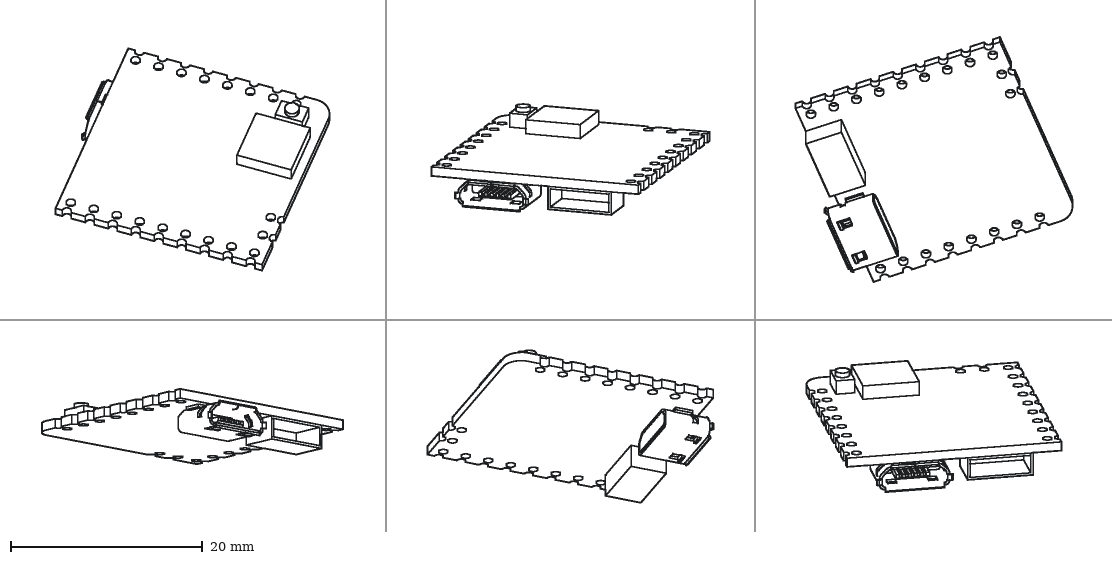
import cadquery as cq
import math


board_side = 22.87
board_thickness = 1.0
corner_radius = 1.98
hole_diameter = 0.97
hole_pitch = 2.55
holes_per_side = 9
end_holes = 2
hole_inset = 1.25

chip_side = 6.0
chip_height = 1.5
chip_x = 18.9
chip_y = 14.9
button_base_length = 3.0
button_base_width = 1.98
button_x = 19.35
button_y = 19.38
plunger_diameter = 1.5
plunger_height = 0.5

socket_depth = 4.0
socket_width = 7.0
socket_height = 2.5
socket_wall = 0.27
socket_y = 6.5

usb_y = 15.85
sheet = 0.3
rim_x = -0.97
shell_back_x = 4.0
shell_height = 2.47
shell_half_width = 3.73
shoulder_drop = 0.9
shell_top_half_width = shell_half_width - shoulder_drop
shoulder_radius = 0.58
bottom_radius = 0.53

lip_tip_x = -1.33
lip_outer_reach = 0.15
lip_bend_reach = 0.17
lip_bend_rise = 0.07
lip_edge_drop = 0.2
lip_rise = 0.25
side_lip_rise = 0.35
top_lip_length = 5.08
bottom_lip_length = 6.3
side_lip_length = 0.63
side_lip_z = -1.55
seam_width = 0.07

wing_half_width = 3.63
wing_front_x = 0.92
notch_front_x = 0.36
notch_bottom_z = -1.43
notch_width = 0.85
wing_length = 1.94
slot_offset = 2.18
slot_width = 0.97
slot_length = 0.97
hook_length = 0.4
hook_slant = 0.12
hook_drop = 0.25
recess_front_x = -0.44
recess_length = 1.45
recess_width = 1.35
recess_y = 16.35
recess_depth = 0.07

insulator_front_x = 2.78
insulator_back_x = 4.1
tongue_front_x = -0.1
tongue_width = 3.53
tongue_top_z = -1.25
tongue_height = 0.58
contact_count = 5
contact_pitch = 0.63
contact_width = 0.35
contact_depth = 0.3
tongue_chamfer = 0.2


def box(x_start, x_length, y_center, y_width, z_start, z_height):
    """Block given by its low X, its middle Y and its low Z."""
    block = cq.Workplane().box(x_length, y_width, z_height, centered=(False, True, False))
    return block.translate((x_start, y_center, z_start))


def hole_and_notch_points():
    """Through holes, each paired with a half-round notch on the nearest edge."""
    points = []
    for i in range(holes_per_side):
        x = hole_inset + i * hole_pitch
        points += [(x, hole_inset), (x, 0)]
        if i < holes_per_side - 1:
            points += [(x, board_side - hole_inset), (x, board_side)]
    for i in range(1, end_holes + 1):
        y = hole_inset + i * hole_pitch
        points += [(board_side - hole_inset, y), (board_side, y)]
    return points


def make_board():
    plate = cq.Workplane().box(board_side, board_side, board_thickness, centered=False)
    plate = plate.edges("|Z and >X and >Y").fillet(corner_radius)
    holes = (
        cq.Workplane()
        .pushPoints(hole_and_notch_points())
        .circle(hole_diameter / 2)
        .extrude(board_thickness)
    )
    top = cq.Workplane().workplane(offset=board_thickness)
    chip = top.center(chip_x, chip_y).rect(chip_side, chip_side).extrude(chip_height)
    button = top.center(button_x, button_y)
    button_base = button.rect(button_base_length, button_base_width).extrude(chip_height)
    plunger = button.circle(plunger_diameter / 2).extrude(chip_height + plunger_height)
    return plate.cut(holes).union(chip).union(button_base.union(plunger))


def make_socket():
    block = box(0, socket_depth, socket_y, socket_width, -socket_height, socket_height)
    cavity = box(
        0,
        socket_depth - socket_wall,
        socket_y,
        socket_width - 2 * socket_wall,
        socket_wall - socket_height,
        socket_height - 2 * socket_wall,
    )
    return block.cut(cavity)


def usb_prism(inset, x_start, x_end):
    """Prism with the connector's section, shrunk by `inset` all round."""
    half = shell_half_width - inset
    shoulder_inset = inset * math.tan(math.radians(22.5))
    shoulder_z = -shoulder_drop - shoulder_inset
    outline = [
        (-half, inset - shell_height),
        (half, inset - shell_height),
        (half, shoulder_z),
        (shell_top_half_width - shoulder_inset, -inset),
        (shoulder_inset - shell_top_half_width, -inset),
        (-half, shoulder_z),
    ]
    prism = cq.Workplane("YZ").polyline(outline).close().extrude(x_end - x_start)
    prism = prism.edges("|X and <Z").fillet(bottom_radius - inset)
    prism = prism.edges("|X and (>Z or >Y or <Y)").edges(">Z or >>Z[-2]").fillet(shoulder_radius - inset)
    return prism.translate((x_start, usb_y, 0))


def lip(length, rise):
    """Lip flaring up and forward from a sheet whose outer face is at Z = 0, centred on Y = 0."""
    bend_middle = (rim_x - lip_bend_reach / 2, lip_bend_rise / 4 - sheet)
    profile = (
        cq.Workplane("XZ")
        .moveTo(lip_tip_x, rise - lip_edge_drop)
        .lineTo(rim_x - lip_outer_reach, rise)
        .lineTo(rim_x, 0)
        .lineTo(rim_x, -sheet)
        .threePointArc(bend_middle, (rim_x - lip_bend_reach, lip_bend_rise - sheet))
        .close()
    )
    return profile.extrude(length / 2, both=True)


def turned(shape, angle, y, z):
    """Turn a shape about the X axis and move it to the given Y and Z."""
    return shape.rotate((0, 0, 0), (1, 0, 0), angle).translate((0, y, z))


def hook(y):
    """Small hook hanging from the shell floor in front of a slot."""
    profile = [
        (-hook_length, -shell_height),
        (0, -shell_height),
        (0, -shell_height - hook_drop),
        (hook_slant - hook_length, -shell_height - hook_drop),
    ]
    block = cq.Workplane("XZ").polyline(profile).close().extrude(slot_width / 2, both=True)
    return block.translate((0, y, 0))


def make_shell():
    shell = usb_prism(0, rim_x, shell_back_x)
    wings = box(wing_front_x, wing_length, usb_y, 2 * wing_half_width, -sheet, sheet)
    shell = shell.union(wings).cut(usb_prism(sheet, rim_x, shell_back_x))
    shell = shell.union(turned(lip(top_lip_length, lip_rise), 0, usb_y, 0))
    shell = shell.union(turned(lip(bottom_lip_length, lip_rise), 180, usb_y, -shell_height))
    for side in (-1, 1):
        side_lip = lip(side_lip_length, side_lip_rise)
        shell = shell.union(turned(side_lip, -90 * side, usb_y + side * shell_half_width, side_lip_z))
        slot_y = usb_y + side * slot_offset
        slot = box(0, slot_length, slot_y, slot_width, -shell_height, sheet)
        notch_y = usb_y + side * (shell_half_width - notch_width / 2)
        notch_length = wing_front_x - notch_front_x
        notch_height = -sheet - notch_bottom_z
        notch = box(notch_front_x, notch_length, notch_y, notch_width, notch_bottom_z, notch_height)
        shell = shell.cut(slot).cut(notch).union(hook(slot_y))
    seam = box(lip_tip_x, recess_front_x - lip_tip_x, usb_y, seam_width, -sheet, sheet + lip_rise)
    recess = box(recess_front_x, recess_length, recess_y, recess_width, -recess_depth, recess_depth)
    return shell.cut(seam).cut(recess)


def make_insulator():
    body = usb_prism(sheet, insulator_front_x, insulator_back_x)
    tongue_length = insulator_front_x - tongue_front_x
    tongue_z = tongue_top_z - tongue_height
    tongue = box(tongue_front_x, tongue_length, usb_y, tongue_width, tongue_z, tongue_height)
    tongue = tongue.edges("<X and <Z").chamfer(tongue_chamfer)
    for i in range(contact_count):
        contact_y = usb_y + (i - (contact_count - 1) / 2) * contact_pitch
        groove_z = tongue_top_z - contact_depth
        groove = box(tongue_front_x, tongue_length, contact_y, contact_width, groove_z, contact_depth)
        tongue = tongue.cut(groove)
    return body.union(tongue)


board = make_board()
socket = make_socket()
usb_shell = make_shell()
usb_insulator = make_insulator()

result = cq.Compound.makeCompound(
    [board.val(), socket.val(), usb_shell.val(), usb_insulator.val()]
)